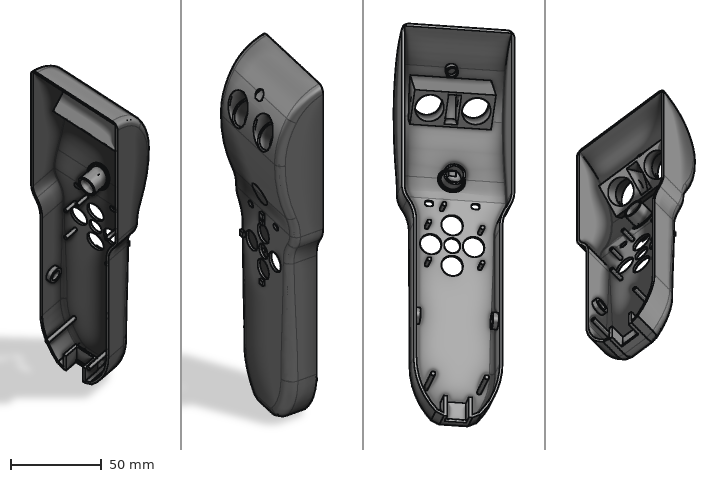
import cadquery as cq
import math

wall = 1.6
length = 230.73
head_half = 63.09 / 2
handle_half = 24.9
handle_depth = 19.25
floor_y = handle_depth - wall
head_depth = 29.1

shoulder_start_z = 135.3
shoulder_end_z = 113.5
shoulder_mid = (28.7, 126.4)
tail_start_z = 33.4
tail_radius = 45.8
tail_corner_z = 2.2
tail_flat_half = 8.0
head_end_z = shoulder_start_z

dome_foot_z = 148.0
dome_peak_z = 187.0
dome_shoulder = (21.3, 215.3)

back_round_head = 4.3
back_round_tail = 6.8
floor_round_head = 0.4
floor_round_tail = 2.6

button_centre_z = 108.2
button_pitch = 12.0
button_diameter = 12.0
centre_button_diameter = 9.0

slot_x = 13.0
slot_z = 132.2
slot_length = 4.8
slot_width = 3.3

short_pins = [(-14.4, 118.0), (15.4, 116.6), (-14.4, 95.8), (15.4, 95.8), (-6.0, 129.1)]
short_pin_diameter = 2.3
short_pin_length = 8.5
long_pin_x = 15.0
long_pin_z = 22.2
long_pin_diameter = 2.5
long_pin_tip_y = -5.64
pin_root_y = floor_y + wall / 2
short_pin_tip_y = floor_y - short_pin_length

side_boss_diameter = 9.4
side_boss_bore = 6.0
side_boss_length = 3.0
side_boss_y = 8.0
side_boss_z = 61.3

sensor_tilt = 45.0
sensor_width = 45.4
sensor_face_height = 20.8
sensor_edge_y = 8.3
sensor_edge_z = 195.1
sensor_depth = 40.0
eye_diameter = 15.9
eye_x = 13.1
eye_recess_diameter = 18.6
eye_recess_start = 9.3
notch_width = 7.2
notch_height = 17.7

lamp_y = 20.6
lamp_z = 213.3
lamp_outer = 6.8
lamp_bore = 5.2
lamp_length = 3.4
lamp_web = 0.8

box_half = 8.0
box_plate = 2.0
gap_half = box_half - box_plate
box_height = 11.9
box_floor_y = 9.2
box_back = 1.2
tail_notch_y = 8.2
tail_notch_top = 2 * wall

mark_rise = 1.5
mark_width = 3.5
mark_spots = [(0, 132.3, 3.6), (0, 128.2, 2.6), (20.5, 108.2, 3.4), (0, 87.6, 2.8)]

plug_z = 147.6
plug_hole_diameter = 13.8
plug_mouth_diameter = 15.3
plug_mouth_depth = 0.6
plug_tube_diameter = 12.0
plug_bore = 9.8
plug_tip_y = 10.5
plug_floor_y = 17.5
plug_pocket_width = 4.2
plug_pocket_start = 1.6
plug_pocket_depth = 1.0

far = 100.0
tolerance = 0.1


def rod(x, z, diameter, y_start, y_end):
    """Cylinder along Y between two Y positions."""
    return cq.Workplane("XZ", origin=(x, y_start, z)).circle(diameter / 2).extrude(y_start - y_end)


def block(x_range, y_range, z_range):
    """Axis-aligned box given by its ranges."""
    size = [end - start for start, end in (x_range, y_range, z_range)]
    corner = (x_range[0], y_range[0], z_range[0])
    return cq.Workplane("XY", origin=corner).box(*size, centered=False)


def tilted(shape, y, z):
    """Turn a shape so that its local +Y leans up by the sensor tilt, then place its origin."""
    return shape.rotate((0, 0, 0), (1, 0, 0), sensor_tilt).translate((0, y, z))


def front_outline():
    """Closed outline in X and Z: wide head, S-shaped shoulders, rounded tail."""
    tail_centre_x = handle_half - tail_radius
    half_angle = math.asin((tail_start_z - tail_corner_z) / tail_radius) / 2
    tail_mid = (
        tail_centre_x + tail_radius * math.cos(half_angle),
        tail_start_z - tail_radius * math.sin(half_angle),
    )
    tail_corner = (tail_centre_x + tail_radius * math.cos(2 * half_angle), tail_corner_z)
    return (
        cq.Workplane("XZ")
        .moveTo(0, length)
        .lineTo(head_half, length)
        .lineTo(head_half, shoulder_start_z)
        .tangentArcPoint(shoulder_mid, relative=False)
        .tangentArcPoint((handle_half, shoulder_end_z), relative=False)
        .lineTo(handle_half, tail_start_z)
        .threePointArc(tail_mid, tail_corner)
        .lineTo(tail_flat_half, 0)
        .lineTo(0, 0)
        .mirrorY()
    )


def side_outline():
    """Closed outline in Y and Z: flat back of the handle running in tangent arcs into the domed head."""
    rise = (dome_foot_z - head_end_z) / (dome_peak_z - head_end_z)
    dome_foot_y = handle_depth + rise * (head_depth - handle_depth)
    return (
        cq.Workplane("YZ")
        .moveTo(-wall, 0)
        .lineTo(handle_depth, 0)
        .lineTo(handle_depth, head_end_z)
        .tangentArcPoint((dome_foot_y, dome_foot_z), relative=False)
        .tangentArcPoint((head_depth, dome_peak_z), relative=False)
        .tangentArcPoint(dome_shoulder, relative=False)
        .tangentArcPoint((0, length), relative=False)
        .lineTo(-wall, length)
        .close()
    )


def solid_form(inset):
    """Front outline crossed with side outline, both moved inwards by the inset."""
    front = front_outline()
    side = side_outline()
    if inset:
        front = front.offset2D(-inset)
        side = side.offset2D(-inset)
    return front.extrude(-far).intersect(side.extrude(far, both=True)).clean().val()


def rounded(solid, edges, start_radius, end_radius):
    """Round the edges with a radius that grows along the straight part of the handle."""
    fillet = cq.occ_impl.shapes.BRepFilletAPI_MakeFillet(solid.wrapped)
    for edge in edges:
        if not fillet.Contour(edge.wrapped):
            fillet.Add(start_radius, edge.wrapped)
    for edge in edges:
        contour = fillet.Contour(edge.wrapped)
        for vertex in edge.Vertices():
            share = (shoulder_end_z - vertex.Z) / (shoulder_end_z - tail_start_z)
            share = min(max(share, 0), 1)
            radius = start_radius + share * (end_radius - start_radius)
            fillet.SetRadius(radius, contour, vertex.wrapped)
    return cq.Shape.cast(fillet.Shape()).Solids()[0]


def outer_form():
    """Full outside of the housing with its rounded back."""
    form = solid_form(0)

    def borders_back(edge):
        centre = edge.Center()
        mid_line = abs(centre.x) < wall and centre.z > wall
        return centre.y > floor_y and not mid_line

    edges = [edge for edge in form.Edges() if borders_back(edge)]
    return rounded(form, edges, back_round_head, back_round_tail)


def cavity_form():
    """Hollow inside; only the handle floor is rounded into the side walls."""
    form = solid_form(wall)

    def borders_floor(edge):
        box = edge.BoundingBox()
        return box.ymin > floor_y - tolerance and box.zmax < shoulder_mid[1]

    edges = [edge for edge in form.Edges() if borders_floor(edge)]
    return rounded(form, edges, floor_round_head, floor_round_tail)


outside = cq.Workplane(outer_form())
cavity = cq.Workplane(cavity_form())


def sensor_block():
    """Tilted block with a notch through its middle, trimmed to the outside of the head."""
    from_edge = (True, False, False)
    body = cq.Workplane("XY").box(sensor_width, sensor_depth, sensor_face_height, centered=from_edge)
    body = body.translate((0, 0, -sensor_face_height))
    notch = cq.Workplane("XY").box(notch_width, sensor_depth, notch_height, centered=(True, False, True))
    body = body.cut(notch.translate((0, 0, -sensor_face_height / 2)))
    return tilted(body, sensor_edge_y, sensor_edge_z).intersect(outside)


def sensor_eyes():
    """Two bores along the tilted axis, each widened towards the back of the head."""
    places = [(-eye_x, -sensor_face_height / 2), (eye_x, -sensor_face_height / 2)]
    bores = cq.Workplane("XZ").pushPoints(places).circle(eye_diameter / 2).extrude(-sensor_depth)
    start = cq.Workplane("XZ", origin=(0, eye_recess_start, 0)).pushPoints(places)
    recesses = start.circle(eye_recess_diameter / 2).extrude(-sensor_depth)
    return tilted(bores.union(recesses), sensor_edge_y, sensor_edge_z)


def lamp_cylinder(diameter, start, depth):
    """Cylinder on the tilted lamp axis, starting at a distance from the lamp centre."""
    cylinder = cq.Workplane("XZ", origin=(0, start, 0)).circle(diameter / 2).extrude(-depth)
    return tilted(cylinder, lamp_y, lamp_z)


def side_boss(side):
    """Hollow boss on the inside of one handle wall (side is -1 or 1)."""
    inner_x = handle_half - wall
    start = cq.Workplane("YZ", origin=(side * inner_x, side_boss_y, side_boss_z))
    boss = start.circle(side_boss_diameter / 2).extrude(-side * side_boss_length)
    bore = start.circle(side_boss_bore / 2).extrude(-side * side_boss_length)
    return boss.cut(bore)


def cable_box():
    """Channel at the tail: a plate on each side of the cable opening and a thin back between them."""
    body = block((-box_half, box_half), (0, box_floor_y + box_back), (0, box_height))
    body = body.cut(block((-gap_half, gap_half), (0, box_floor_y), (0, box_height)))
    return body.intersect(outside)


housing = outside.cut(cavity)
housing = housing.union(sensor_block())
housing = housing.union(lamp_cylinder(lamp_outer, -lamp_length, lamp_length + 2 * wall).intersect(outside))
housing = housing.cut(sensor_eyes())
housing = housing.cut(lamp_cylinder(lamp_bore, -lamp_length, lamp_length))
housing = housing.cut(lamp_cylinder(lamp_outer, lamp_web, far))

for button_x, button_z in [(-1, 0), (1, 0), (0, -1), (0, 1)]:
    centre_x = button_x * button_pitch
    centre_z = button_centre_z + button_z * button_pitch
    housing = housing.cut(rod(centre_x, centre_z, button_diameter, 0, far))
housing = housing.cut(rod(0, button_centre_z, centre_button_diameter, 0, far))

slots = cq.Workplane("XZ").pushPoints([(-slot_x, slot_z), (slot_x, slot_z)]).slot2D(slot_length, slot_width)
housing = housing.cut(slots.extrude(-far))

for pin_x, pin_z in short_pins:
    housing = housing.union(rod(pin_x, pin_z, short_pin_diameter, short_pin_tip_y, pin_root_y))

for side in (-1, 1):
    long_pin = rod(side * long_pin_x, long_pin_z, long_pin_diameter, long_pin_tip_y, pin_root_y)
    housing = housing.union(long_pin)
    housing = housing.union(side_boss(side))

housing = housing.union(cable_box())
housing = housing.cut(block((-gap_half, gap_half), (-far, tail_notch_y), (-far, tail_notch_top)))

for mark_x, mark_z, mark_height in mark_spots:
    mark = block(
        (mark_x - mark_width / 2, mark_x + mark_width / 2),
        (handle_depth - wall / 2, handle_depth + mark_rise),
        (mark_z - mark_height / 2, mark_z + mark_height / 2),
    )
    housing = housing.union(mark)


def plug_body(shell):
    """Disc cut from the curved shell, carrying a tube whose floor has two pockets."""
    disc = shell.intersect(rod(0, plug_z, plug_hole_diameter, 0, far))
    tube = rod(0, plug_z, plug_tube_diameter, plug_tip_y, head_depth).intersect(outside)
    body = disc.union(tube).cut(rod(0, plug_z, plug_bore, plug_tip_y, plug_floor_y))
    x_range = (-plug_pocket_width / 2, plug_pocket_width / 2)
    y_range = (plug_floor_y, plug_floor_y + plug_pocket_depth)
    upper = block(x_range, y_range, (plug_z + plug_pocket_start, plug_z + plug_bore / 2))
    return body.cut(upper).cut(upper.mirror("XY", (0, 0, plug_z)))


plug_mouth = rod(0, plug_z, plug_mouth_diameter, 0, far)
plug = plug_body(outside.cut(cavity))
housing = housing.cut(plug_mouth.intersect(cavity.translate((0, plug_mouth_depth, 0))))
housing = housing.cut(rod(0, plug_z, plug_hole_diameter, 0, far))

result = cq.Compound.makeCompound([*housing.vals(), *plug.vals()])